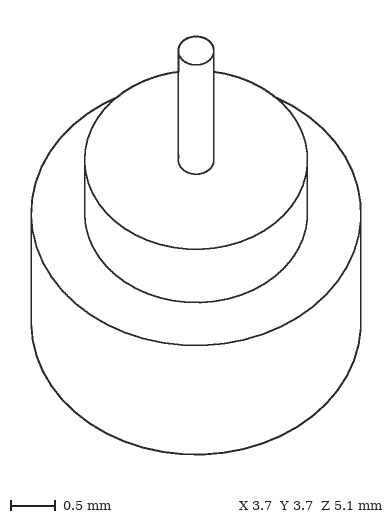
import cadquery as cq

overall_height = 5.1
body_diameter = 3.7
body_height = 2.05
collar_diameter = 2.5
collar_height = 1.0
insulator_diameter = 1.95
pin_diameter = 0.4

collar_base = body_height
collar_top = collar_base + collar_height
pin_length = overall_height - collar_top


def cylinder(diameter, base, height):
    """Upright cylinder on the Z axis, standing on the level `base`."""
    return cq.Workplane("XY").workplane(offset=base).circle(diameter / 2).extrude(height)


def collar_with_insulator():
    """Collar ring filled flush by the insulator around the pin."""
    insulator = cylinder(insulator_diameter, collar_base, collar_height)
    ring = cylinder(collar_diameter, collar_base, collar_height).cut(insulator)
    return ring.union(insulator, clean=False)


body = cylinder(body_diameter, 0, body_height)
pin = cylinder(pin_diameter, collar_top, pin_length)

result = body.union(collar_with_insulator(), clean=False).union(pin, clean=False)